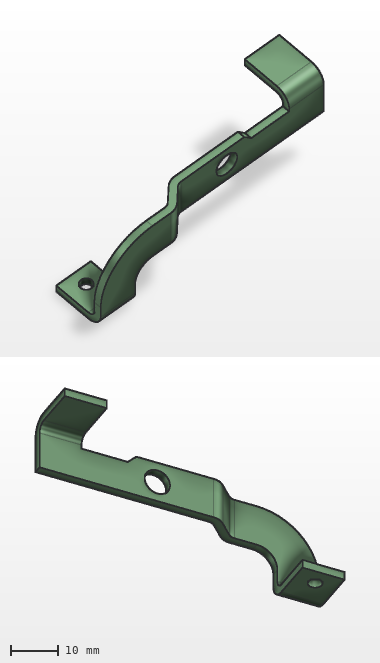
import cadquery as cq
import math

length = 69.0
width = 19.0
height = 25.0
thickness = 2.0
bend_inner = 2.0
bend_outer = bend_inner + thickness

strip_width = 10.0
strip_top = 22.0
strip_bottom = strip_top - strip_width
curve_outer = 15.0
curve_inner = curve_outer - strip_width
curve_center_z = strip_top - curve_outer

jog_offset = 5.0
jog_rear_y = 26.1
jog_front_y = jog_rear_y - jog_offset
front_web_x = width - thickness
rear_web_x = front_web_x - jog_offset

tab_reach = rear_web_x + thickness
tab_length = 10.0
rear_tab_y = length - tab_length

relief_depth = 2.0
relief_length = 11.0

web_hole_diameter = 6.0
web_hole_y = 41.0
web_hole_z = strip_bottom + strip_width / 2
tab_hole_diameter = 3.2
tab_hole_inset = 10.0


def make_jogged_sheet():
    """Full-height sheet following the web's path in plan, with rounded jog bends."""
    miter = thickness * math.tan(math.radians(22.5))
    rear_outer_x = rear_web_x + thickness
    sheet = (
        cq.Workplane("XY")
        .polyline([
            (front_web_x, 0),
            (width, 0),
            (width, jog_front_y + miter),
            (rear_outer_x, jog_rear_y + miter),
            (rear_outer_x, length),
            (rear_web_x, length),
            (rear_web_x, jog_rear_y),
            (front_web_x, jog_front_y),
        ])
        .close()
        .extrude(height)
    )
    bends = [
        (rear_web_x, jog_rear_y, bend_outer),
        (rear_outer_x, jog_rear_y + miter, bend_inner),
        (front_web_x, jog_front_y, bend_inner),
        (width, jog_front_y + miter, bend_outer),
    ]
    for x, y, radius in bends:
        corner = cq.selectors.NearestToPointSelector((x, y, height / 2))
        sheet = sheet.edges("|Z").edges(corner).fillet(radius)
    return sheet


def make_side_outline():
    """Web outline in the YZ plane, ending where the two tab bends begin."""
    diagonal = math.sqrt(0.5)
    relief_z = strip_top - relief_depth
    relief_front_y = rear_tab_y - relief_length
    return (
        cq.Workplane("YZ")
        .moveTo(0, bend_outer)
        .lineTo(0, curve_center_z)
        .threePointArc(
            (curve_outer * (1 - diagonal), curve_center_z + curve_outer * diagonal),
            (curve_outer, strip_top),
        )
        .lineTo(relief_front_y - relief_depth, strip_top)
        .lineTo(relief_front_y, relief_z)
        .lineTo(rear_tab_y, relief_z)
        .lineTo(rear_tab_y, height - bend_outer)
        .lineTo(length, height - bend_outer)
        .lineTo(length, strip_bottom)
        .lineTo(curve_outer, strip_bottom)
        .threePointArc(
            (curve_outer - curve_inner * diagonal, curve_center_z + curve_inner * diagonal),
            (tab_length, curve_center_z),
        )
        .lineTo(tab_length, bend_outer)
        .close()
        .extrude(width)
    )


def make_tab(outer_x, start_y, face_z, inward):
    """Tab and its bend; inward is the Z direction from the tab's outer face to the web."""
    bend_center_x = outer_x - bend_outer
    bend_center_z = face_z + inward * bend_outer
    diagonal = math.sqrt(0.5)

    def bend_middle(radius):
        return (bend_center_x + radius * diagonal, bend_center_z - inward * radius * diagonal)

    return (
        cq.Workplane("XZ", origin=(0, start_y + tab_length, 0))
        .moveTo(outer_x - tab_reach, face_z)
        .lineTo(bend_center_x, face_z)
        .threePointArc(bend_middle(bend_outer), (outer_x, bend_center_z))
        .lineTo(outer_x - thickness, bend_center_z)
        .threePointArc(bend_middle(bend_inner), (bend_center_x, face_z + inward * thickness))
        .lineTo(outer_x - tab_reach, face_z + inward * thickness)
        .close()
        .extrude(tab_length)
    )


web_hole = (
    cq.Workplane("YZ")
    .center(web_hole_y, web_hole_z)
    .circle(web_hole_diameter / 2)
    .extrude(width)
)
tab_hole = (
    cq.Workplane("XY")
    .center(width - tab_hole_inset, tab_length / 2)
    .circle(tab_hole_diameter / 2)
    .extrude(thickness)
)

web = make_jogged_sheet().intersect(make_side_outline())
front_tab = make_tab(width, 0, 0, 1)
rear_tab = make_tab(rear_web_x + thickness, rear_tab_y, height, -1)
result = web.union(front_tab).union(rear_tab).cut(web_hole).cut(tab_hole)